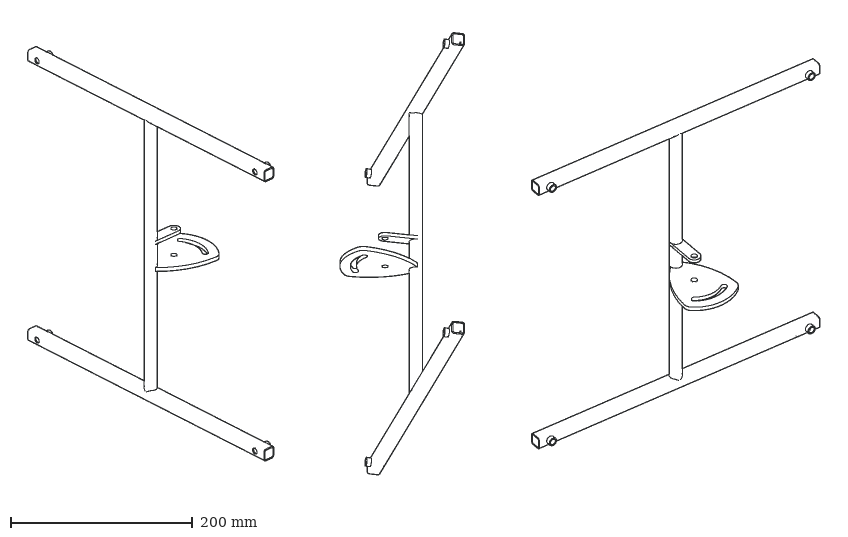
import cadquery as cq
import math


frame_length = 380.0
frame_height = 365.0
frame_depth = 92.5

rail_size = 15.0
rail_wall = 1.5
rail_corner_radius = 2 * rail_wall
rail_inner_radius = rail_corner_radius - rail_wall
rail_offset = (frame_height - rail_size) / 2

bolt_inset = rail_size
bolt_offset = frame_length / 2 - bolt_inset
bolt_hole_diameter = 7.0
boss_diameter = 10.0
boss_height = 5.0

post_radius = rail_size / 2

pivot_distance = 35.0
pivot_hole_diameter = 7.0
bracket_half_gap = 14.5
plate_thickness = 5.0
plate_tip_radius = frame_depth - post_radius - pivot_distance
plate_half_angle = 45.0
plate_corner_radius = 10.0
plate_side_radius = 98.8
lug_thickness = 4.0

slot_radius = 35.0
slot_width = 7.0
slot_half_angle = 35.0


def around_pivot(radius, angle):
    """XY point at a radius from the pivot, with the angle in degrees from +Y towards +X."""
    turn = math.radians(angle)
    return (radius * math.sin(turn), pivot_distance + radius * math.cos(turn))


def square_bar(size):
    """Sharp-edged square bar along X, as long as the frame."""
    base = cq.Workplane("YZ", origin=(-frame_length / 2, 0, 0))
    return base.rect(size, size).extrude(frame_length)


def cylinder_along_y(diameter, start_y, length, x):
    """Cylinder on the rail mid-height, running from start_y towards +Y."""
    base = cq.Workplane("XZ", origin=(x, start_y, 0))
    return base.circle(diameter / 2).extrude(-length)


def make_rail_envelope():
    """Solid rail with its bosses on the +Y side."""
    rail = square_bar(rail_size).edges("|X").fillet(rail_corner_radius)
    for x in (-bolt_offset, bolt_offset):
        rail = rail.union(cylinder_along_y(boss_diameter, 0, rail_size / 2 + boss_height, x))
    return rail


def make_rail_void():
    """Tube cavity and the bolt holes through the rail and its bosses."""
    void = square_bar(rail_size - 2 * rail_wall).edges("|X").fillet(rail_inner_radius)
    for x in (-bolt_offset, bolt_offset):
        void = void.union(cylinder_along_y(bolt_hole_diameter, -rail_size, 2 * rail_size, x))
    return void


def make_pivot_hole():
    """Hole through both the sector plate and the lug."""
    half_length = bracket_half_gap + plate_thickness
    base = cq.Workplane("XY", origin=(0, pivot_distance, -half_length))
    return base.circle(pivot_hole_diameter / 2).extrude(2 * half_length)


def make_slot():
    """Arc-shaped cutter with round ends, through the plate thickness."""
    outer_radius = slot_radius + slot_width / 2
    inner_radius = slot_radius - slot_width / 2
    angle = slot_half_angle
    end_angle = angle + math.degrees(slot_width / 2 / slot_radius)
    return (
        cq.Workplane("XY", origin=(0, 0, -bracket_half_gap - plate_thickness))
        .moveTo(*around_pivot(outer_radius, -angle))
        .threePointArc(around_pivot(outer_radius, 0), around_pivot(outer_radius, angle))
        .threePointArc(around_pivot(slot_radius, end_angle), around_pivot(inner_radius, angle))
        .threePointArc(around_pivot(inner_radius, 0), around_pivot(inner_radius, -angle))
        .threePointArc(around_pivot(slot_radius, -end_angle), around_pivot(outer_radius, -angle))
        .close()
        .extrude(plate_thickness)
    )


def make_sector_plate():
    """Plate fanning out from the post sides to an arc centred on the pivot."""
    left_corner = around_pivot(plate_tip_radius, -plate_half_angle)
    right_corner = around_pivot(plate_tip_radius, plate_half_angle)
    plate = (
        cq.Workplane("XY", origin=(0, 0, -bracket_half_gap - plate_thickness))
        .moveTo(-post_radius, 0)
        .radiusArc(left_corner, plate_side_radius)
        .threePointArc(around_pivot(plate_tip_radius, 0), right_corner)
        .radiusArc((post_radius, 0), plate_side_radius)
        .close()
        .extrude(plate_thickness)
    )
    tip_corners = plate.edges("|Z").edges(">X or <X")
    return tip_corners.fillet(plate_corner_radius).cut(make_slot())


def make_lug():
    """Strip as wide as the post with a round end about the pivot."""
    return (
        cq.Workplane("XY", origin=(0, 0, bracket_half_gap))
        .moveTo(-post_radius, 0)
        .lineTo(-post_radius, pivot_distance)
        .threePointArc((0, pivot_distance + post_radius), (post_radius, pivot_distance))
        .lineTo(post_radius, 0)
        .close()
        .extrude(lug_thickness)
    )


def make_post():
    """Solid post reaching into both rails, so that it fills in under their rounded corners."""
    half_length = rail_offset - rail_size / 2 + rail_corner_radius
    base = cq.Workplane("XY", origin=(0, 0, -half_length))
    return base.circle(post_radius).extrude(2 * half_length)


brackets = make_sector_plate().union(make_lug()).cut(make_pivot_hole())
result = make_post().union(brackets)
for z in (-rail_offset, rail_offset):
    result = result.union(make_rail_envelope().translate((0, 0, z)))
    result = result.cut(make_rail_void().translate((0, 0, z)))